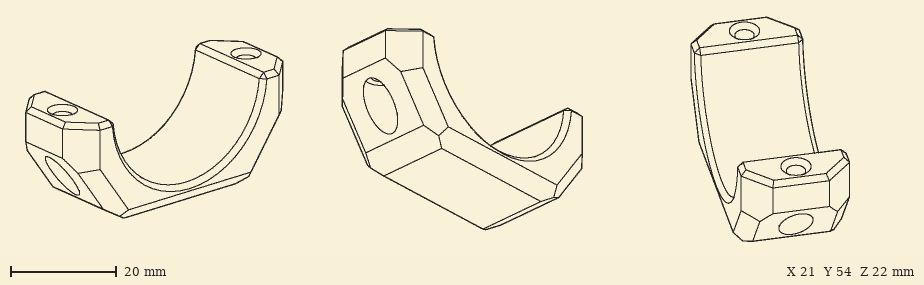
import cadquery as cq

length = 54.0
width = 21.0
height = 22.0

wall_bottom = 14.95
flank_slope = 0.7
corner_cut_height = 2.95
floor_half_length = 13.65

side_chamfer = 2.95
end_corner_chamfer = 5.0
top_chamfer = 1.0

bore_radius = 18.0
bore_axis_height = height + 0.5

screw_offset = 22.5
screw_radius = 1.85
countersink = 1.0
head_radius = 3.25
head_seat_height = wall_bottom


def flank_half_length(z):
    """Half length of the flank profile at height z."""
    return length / 2 - flank_slope * (wall_bottom - z)


def prism(points):
    """Prism across the full width from (Y, Z) profile points."""
    return cq.Workplane("YZ").polyline(points).close().extrude(width / 2, both=True)


def make_body():
    half = length / 2
    toe = flank_half_length(0)
    body = prism([
        (-half, height), (-half, wall_bottom), (-toe, 0),
        (toe, 0), (half, wall_bottom), (half, height),
    ])
    side_edges = body.edges("<Z and (not |X)")
    for side in (-1, 1):
        for end in (-1, 1):
            flank_middle = (side * width / 2, end * (half + toe) / 2, wall_bottom / 2)
            side_edges = side_edges.add(body.edges(cq.NearestToPointSelector(flank_middle)))
    body = side_edges.chamfer(side_chamfer)

    cut_half = flank_half_length(corner_cut_height)
    for end in (-1, 1):
        corner = prism([
            (end * cut_half, corner_cut_height),
            (end * floor_half_length, 0),
            (end * half, 0),
            (end * half, corner_cut_height),
        ])
        body = body.cut(corner)

    plan = cq.Workplane("XY").rect(width, length).extrude(height)
    return body.intersect(plan.edges("|Z").chamfer(end_corner_chamfer))


def cut_bore(body):
    bore = (
        cq.Workplane("YZ").center(0, bore_axis_height)
        .circle(bore_radius).extrude(width / 2, both=True)
    )
    return body.cut(bore)


def cut_screw_hole(body, y):
    hole = cq.Workplane("XY").center(0, y).circle(screw_radius).extrude(height)
    head = cq.Workplane("XY").center(0, y).circle(head_radius).extrude(head_seat_height)
    mouth = cq.Solid.makeCone(
        screw_radius, screw_radius + countersink, countersink,
        pnt=cq.Vector(0, y, height - countersink),
    )
    return body.cut(hole).cut(head).cut(cq.Workplane(mouth))


body = cut_bore(make_body())
bore_mouths = body.edges("%CIRCLE")
body = body.faces(">Z").edges().add(bore_mouths).chamfer(top_chamfer)

for screw_y in (-screw_offset, screw_offset):
    body = cut_screw_hole(body, screw_y)

result = body